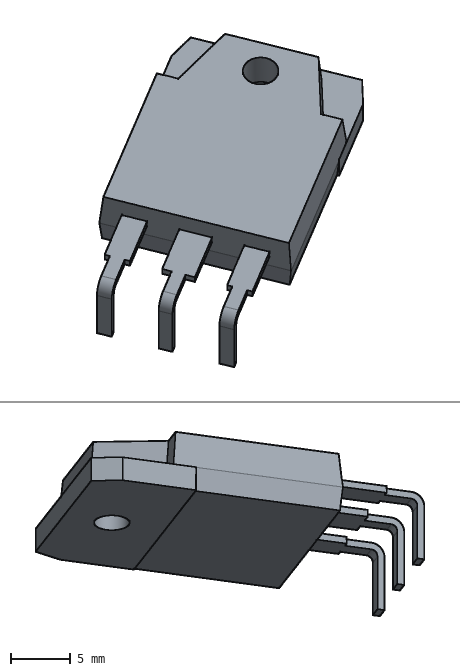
import cadquery as cq
import math


body_width = 17.0
body_height = 5.28
parting_height = 2.13
lead_face_y = -22.0
draft_angle = 5
slant_angle = math.radians(20)
shoulder_slope = math.tan(slant_angle)

tab_length = 9.0
tab_corner_length = 2.5
mount_hole_diameter = 3.0
mount_hole_y = -4.3

nose_end_y = -1.02
shoulder_y = -7.0
nose_tip_width = 8.67

total_length = 30.0
lead_pitch = 5.43
lead_thickness = 0.63
lead_top = 3.7
lead_bottom = -2.4
lead_embedding = 0.9
lead_step_y = -26.5
bend_outer_radius = 1.2
side_root_width = 2.25
side_tip_width = 1.32
middle_root_width = 2.9
middle_tip_width = 1.23


def mount_hole():
    """Cutter for the screw hole through tab and housing."""
    return (
        cq.Workplane("XY")
        .center(0, mount_hole_y)
        .circle(mount_hole_diameter / 2)
        .extrude(body_height)
    )


def make_tab():
    """Flat plate with its two outer corners cut off."""
    half_width = body_width / 2
    half_end = half_width - tab_corner_length * shoulder_slope
    plate = (
        cq.Workplane("XY")
        .polyline([
            (-half_width, -tab_length),
            (half_width, -tab_length),
            (half_width, -tab_corner_length),
            (half_end, 0),
            (-half_end, 0),
            (-half_width, -tab_corner_length),
        ])
        .close()
        .extrude(parting_height)
    )
    return plate.cut(mount_hole())


def housing_outline(inset):
    """Corner points of the housing outline with every edge moved inward by inset."""
    half_width = body_width / 2 - inset
    front_y = lead_face_y + inset
    foot_y = shoulder_y - inset
    tip_y = nose_end_y - inset
    slant_shift = inset / math.cos(slant_angle)
    half_tip = nose_tip_width / 2 + inset * shoulder_slope - slant_shift
    half_foot = half_tip + (tip_y - foot_y) * shoulder_slope
    return [
        (-half_width, front_y),
        (half_width, front_y),
        (half_width, foot_y),
        (half_foot, foot_y),
        (half_tip, tip_y),
        (-half_tip, tip_y),
        (-half_foot, foot_y),
        (-half_width, foot_y),
    ]


def housing_upper_half():
    """Drafted upper half whose nose narrows over the tab."""
    upper_height = body_height - parting_height
    top_inset = upper_height * math.tan(math.radians(draft_angle))
    return (
        cq.Workplane("XY")
        .workplane(offset=parting_height)
        .polyline(housing_outline(0))
        .close()
        .workplane(offset=upper_height)
        .polyline(housing_outline(top_inset))
        .close()
        .loft(ruled=True)
    )


def housing_lower_half():
    """Lower half drafted on its three free sides and square where it meets the tab."""
    drafted_block = (
        cq.Workplane("XY")
        .workplane(offset=parting_height)
        .center(0, lead_face_y / 2)
        .rect(body_width, -lead_face_y)
        .extrude(-parting_height, taper=draft_angle)
    )
    tab_space = cq.Workplane("XY").box(
        body_width, tab_length, parting_height, centered=(True, False, False)
    ).translate((0, -tab_length, 0))
    return drafted_block.cut(tab_space)


def make_housing(leads):
    """Moulded housing with the screw hole and a socket for each lead."""
    housing = housing_upper_half().union(housing_lower_half()).cut(mount_hole())
    for lead in leads:
        housing = housing.cut(lead)
    return housing


def make_lead(center_x, root_width, tip_width):
    """Bent strip: a wide root, then a narrow tip that turns down."""
    root_start_y = lead_face_y + lead_embedding
    bend_inner_radius = bend_outer_radius - lead_thickness
    lead_underside = lead_top - lead_thickness
    bend_y = bend_outer_radius - total_length
    bend_z = lead_top - bend_outer_radius
    arc_offset = math.sqrt(0.5)

    tip = (
        cq.Workplane("YZ")
        .moveTo(lead_step_y, lead_top)
        .lineTo(bend_y, lead_top)
        .threePointArc(
            (bend_y - bend_outer_radius * arc_offset, bend_z + bend_outer_radius * arc_offset),
            (-total_length, bend_z),
        )
        .lineTo(-total_length, lead_bottom)
        .lineTo(-total_length + lead_thickness, lead_bottom)
        .lineTo(-total_length + lead_thickness, bend_z)
        .threePointArc(
            (bend_y - bend_inner_radius * arc_offset, bend_z + bend_inner_radius * arc_offset),
            (bend_y, lead_underside),
        )
        .lineTo(lead_step_y, lead_underside)
        .close()
        .extrude(tip_width / 2, both=True)
    )
    root = cq.Workplane("XY").box(
        root_width, root_start_y - lead_step_y, lead_thickness, centered=(True, False, False)
    ).translate((0, lead_step_y, lead_underside))
    return root.union(tip).translate((center_x, 0, 0))


leads = []
for center_x, root_width, tip_width in [
    (-lead_pitch, side_root_width, side_tip_width),
    (0, middle_root_width, middle_tip_width),
    (lead_pitch, side_root_width, side_tip_width),
]:
    leads.append(make_lead(center_x, root_width, tip_width))

tab = make_tab()
housing = make_housing(leads)

result = cq.Compound.makeCompound([
    tab.solids().val(),
    housing.solids().val(),
    *[lead.solids().val() for lead in leads],
])